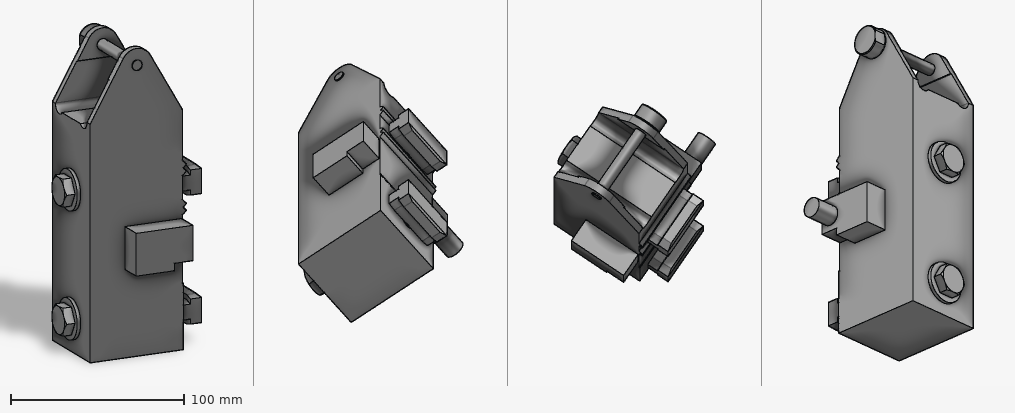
import cadquery as cq
import math

body_width = 50.0
base_depth = 59.9
upper_depth = 59.3
foot_height = 40.2
total_height = 186.0
half_width = body_width / 2

lug_radius = 10.0
lug_slope = math.radians(60)
lug_thickness = 4.0
pad_thickness = 4.8
pad_bottom = 168.0
pin_y = 30.0
pin_z = total_height - lug_radius

saddle_z = 141.0
groove_radius = 5.0
groove_x = half_width - lug_thickness - groove_radius
groove_z = 144.3

pin_diameter = 7.0
pin_tip_length = 0.7
pin_tip_diameter = 6.3
head_radius = 9.0
head_flat = 8.2
head_length = 8.2
head_edge = 0.5
collar_radius = 8.2
collar_length = 0.7

tooth_height = 2.5
tooth_spacing = 4.0
tooth_group_offset = 11.9
tooth_tip_width = 0.4

bar_length = 80.0
bar_front, bar_back = 22.3, 58.8
bar_bottom, bar_top = 53.5, 79.5
notch_front = 46.9
notch_top = 58.0
peg_diameter = 12.0
peg_length = 15.5
peg_y = 52.0
peg_z = 67.7

bolt_heights = (20.0, 98.0)
shank_diameter = 10.0
washer_diameter = 25.0
washer_thickness = 2.2
hex_across_flats = 17.0
bolt_front = -8.4
nut_length = 36.3
nut_flat_length = 26.5
nut_back = 75.0
nut_shoulder = 67.7
nut_front = 60.8
nut_head_height = 17.9
nut_neck_height = 11.7
nut_end_drop = 1.3
nut_back_edge = 1.1


def box(x_range, y_range, z_range):
    """Box between two limits along each axis."""
    size = [high - low for low, high in (x_range, y_range, z_range)]
    return cq.Workplane("XY").box(*size, centered=False).translate((x_range[0], y_range[0], z_range[0]))


def x_cylinder(radius, x_start, x_end, y, z):
    return cq.Workplane("YZ", origin=(x_start, y, z)).circle(radius).extrude(x_end - x_start)


def y_cylinder(radius, y_start, y_end, z):
    return cq.Workplane("XZ", origin=(0, y_start, z)).circle(radius).extrude(y_start - y_end)


def make_body():
    tangent_y = lug_radius * math.sin(lug_slope)
    tangent_z = pin_z + lug_radius * math.cos(lug_slope)

    def edge_z(y):
        return tangent_z - (abs(y - pin_y) - tangent_y) * math.tan(lug_slope)

    side = (
        cq.Workplane("YZ", origin=(-half_width, 0, 0))
        .moveTo(0, 0)
        .lineTo(0, edge_z(0))
        .lineTo(pin_y - tangent_y, tangent_z)
        .threePointArc((pin_y, total_height), (pin_y + tangent_y, tangent_z))
        .lineTo(upper_depth, edge_z(upper_depth))
        .lineTo(upper_depth, foot_height)
        .lineTo(base_depth, foot_height)
        .lineTo(base_depth, 0)
        .close()
        .extrude(body_width)
    )
    lower_gap = half_width - lug_thickness
    upper_gap = half_width - pad_thickness
    through = (0, base_depth)
    body = side.cut(box((-lower_gap, lower_gap), through, (groove_z, pad_bottom)))
    body = body.cut(box((-upper_gap, upper_gap), through, (pad_bottom, total_height)))
    body = body.cut(box((-groove_x, groove_x), through, (saddle_z, groove_z)))
    for x in (-groove_x, groove_x):
        groove = y_cylinder(groove_radius, 0, base_depth, groove_z).translate((x, 0, 0))
        body = body.cut(groove)
    return body


def make_tooth(z):
    """Ridge with 45 degree flanks, sunk slightly into the back of the body."""
    root = upper_depth - tooth_height
    tip = upper_depth + tooth_height
    half_tip = tooth_tip_width / 2
    half_root = half_tip + tip - root
    return (
        cq.Workplane("YZ", origin=(-half_width, 0, z))
        .polyline([(root, -half_root), (tip, -half_tip), (tip, half_tip), (root, half_root)])
        .close()
        .extrude(body_width)
    )


def make_hinge_pin():
    collar_end = -half_width - collar_length
    head_end = collar_end - head_length
    pin = x_cylinder(pin_diameter / 2, -half_width, half_width, pin_y, pin_z)
    tip = x_cylinder(pin_tip_diameter / 2, 0, half_width + pin_tip_length, pin_y, pin_z)
    collar = x_cylinder(collar_radius, collar_end, -half_width, pin_y, pin_z)
    head = x_cylinder(head_radius, head_end, collar_end, pin_y, pin_z).faces("<X").chamfer(head_edge)
    flat_y = pin_y - head_flat
    head = head.cut(
        box(
            (head_end, collar_end),
            (flat_y - head_radius, flat_y),
            (pin_z - head_radius, pin_z + head_radius),
        )
    )
    return pin.union(tip).union(collar).union(head)


def make_cross_bar():
    half_bar = bar_length / 2
    bar = box((-half_bar, half_bar), (bar_front, bar_back), (bar_bottom, bar_top))
    notch = box((-half_bar, half_bar), (notch_front, bar_back), (bar_bottom, notch_top))
    peg = x_cylinder(peg_diameter / 2, -half_bar - peg_length, -half_bar, peg_y, peg_z)
    return bar.cut(notch).union(peg)


def make_nut_layer(height, y_start, y_end, z):
    """Bar with four sloping corners, running along X."""
    end_x, flat_x = nut_length / 2, nut_flat_length / 2
    top = height / 2
    end_top = top - nut_end_drop
    corners = [(-end_x, end_top), (-flat_x, top), (flat_x, top), (end_x, end_top)]
    corners += [(x, -top_z) for x, top_z in reversed(corners)]
    return cq.Workplane("XZ", origin=(0, y_start, z)).polyline(corners).close().extrude(y_start - y_end)


def make_nut(z):
    top = nut_head_height / 2
    end_top = top - nut_end_drop
    chamfer_start = nut_back - nut_back_edge
    envelope = (
        cq.Workplane("YZ", origin=(-nut_length / 2, 0, z))
        .polyline(
            [
                (nut_shoulder, -top),
                (chamfer_start, -top),
                (nut_back, -end_top),
                (nut_back, end_top),
                (chamfer_start, top),
                (nut_shoulder, top),
            ]
        )
        .close()
        .extrude(nut_length)
    )
    head = make_nut_layer(nut_head_height, nut_shoulder, nut_back, z).intersect(envelope)
    return head.union(make_nut_layer(nut_neck_height, nut_front, nut_shoulder, z))


def make_bolt(z):
    corner_radius = hex_across_flats / math.sqrt(3)
    flat_radius = hex_across_flats / 2
    edge_depth = (corner_radius - flat_radius) * math.tan(math.radians(30))
    hexagon = (
        cq.Workplane("XZ", origin=(0, 0, z))
        .polygon(6, 2 * corner_radius)
        .extrude(-bolt_front)
    )
    turned = (
        cq.Workplane("XY")
        .polyline(
            [
                (0, 0),
                (corner_radius, 0),
                (corner_radius, bolt_front + edge_depth),
                (flat_radius, bolt_front),
                (0, bolt_front),
            ]
        )
        .close()
        .revolve(360, (0, 0, 0), (0, 1, 0))
        .translate((0, 0, z))
    )
    washer = y_cylinder(washer_diameter / 2, -washer_thickness, 0, z)
    shank = y_cylinder(shank_diameter / 2, 0, nut_shoulder, z)
    return hexagon.intersect(turned).union(washer).union(shank)


result = make_body().union(make_hinge_pin()).union(make_cross_bar())

for bolt_z in bolt_heights:
    result = result.union(make_bolt(bolt_z)).union(make_nut(bolt_z))

for group_offset in (-tooth_group_offset, tooth_group_offset):
    for tooth_offset in (-tooth_spacing / 2, tooth_spacing / 2):
        result = result.union(make_tooth(bolt_heights[1] + group_offset + tooth_offset))